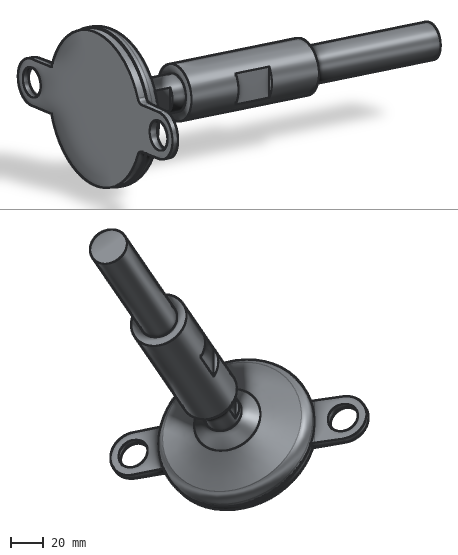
import cadquery as cq
import math

TOTAL_LENGTH = 250.0

SEAT_RADIUS = 21.5
SEAT_HEIGHT = 25.2

FOOT_RADIUS = 50.0
FOOT_BOTTOM_RADIUS = 49.2
RIM_BOTTOM = 6.0
RIM_TOP = 9.2
SHOULDER_RADIUS = 45.0
SHOULDER_HEIGHT = 16.2
SHOULDER_BULGE_RADIUS = 48.5
SHOULDER_BULGE_HEIGHT = 13.2
FLARE_RADIUS = 30.5
FLARE_HEIGHT = 21.5

EAR_REACH = 83.0
EAR_RADIUS = 15.0
EAR_HOLE_DIAMETER = 19.0
EAR_TIP_THICKNESS = 4.2
EAR_ROOT_THICKNESS = RIM_BOTTOM
EAR_CENTER = EAR_REACH - EAR_RADIUS
EAR_FILLET = 5.0

ROD_RADIUS = 12.0
DOME_MID_RADIUS = 17.5
DOME_MID_HEIGHT = 29.2
DOME_TOP = 33.0
SLEEVE_RADIUS = 18.0
SLEEVE_BOTTOM = 59.5
SLEEVE_TOP = 154.8
SLEEVE_FLAT_WIDTH = 30.0
SLEEVE_FLAT_LENGTH = 25.0
SLEEVE_FLAT_BOTTOM = (SLEEVE_BOTTOM + SLEEVE_TOP - SLEEVE_FLAT_LENGTH) / 2
STEM_FLAT_WIDTH = 19.0
STEM_FLAT_LENGTH = 12.0
STEM_FLAT_BOTTOM = 37.5


def revolve_about_y(profile):
    return profile.close().revolve(360, (0, 0, 0), (0, 1, 0))


def make_disc():
    """Round foot rising through a concave flare to the flat seat."""
    profile = (
        cq.Workplane("XY")
        .lineTo(FOOT_BOTTOM_RADIUS, 0)
        .lineTo(FOOT_BOTTOM_RADIUS, RIM_BOTTOM)
        .lineTo(FOOT_RADIUS, RIM_BOTTOM)
        .lineTo(FOOT_RADIUS, RIM_TOP)
        .threePointArc((SHOULDER_BULGE_RADIUS, SHOULDER_BULGE_HEIGHT), (SHOULDER_RADIUS, SHOULDER_HEIGHT))
        .threePointArc((FLARE_RADIUS, FLARE_HEIGHT), (SEAT_RADIUS, SEAT_HEIGHT))
        .lineTo(0, SEAT_HEIGHT)
    )
    return revolve_about_y(profile)


def ear_root_fillets():
    """Concave webs joining the +X ear to the disc, tangent to both."""
    center_z = EAR_RADIUS + EAR_FILLET
    center_distance = FOOT_BOTTOM_RADIUS + EAR_FILLET
    center_x = math.sqrt(center_distance**2 - center_z**2)
    disc_scale = FOOT_BOTTOM_RADIUS / center_distance
    disc_tangent = (center_x * disc_scale, center_z * disc_scale)
    toward_disc = math.atan2(-center_z, -center_x)
    toward_ear = -math.pi / 2
    middle = (toward_disc + toward_ear) / 2
    arc_middle = (center_x + EAR_FILLET * math.cos(middle), center_z + EAR_FILLET * math.sin(middle))
    web = (
        cq.Workplane("XZ")
        .moveTo(*disc_tangent)
        .threePointArc(arc_middle, (center_x, EAR_RADIUS))
        .lineTo(center_x, 0)
        .lineTo(disc_tangent[0], 0)
        .close()
        .extrude(-EAR_ROOT_THICKNESS)
    )
    return web.union(web.mirror("XY"))


def make_ear():
    """The +X ear at full thickness, with a round tip."""
    strip = cq.Workplane("XZ").center(EAR_CENTER / 2, 0).rect(EAR_CENTER, 2 * EAR_RADIUS)
    ear = strip.extrude(-EAR_ROOT_THICKNESS)
    tip = cq.Workplane("XZ").center(EAR_CENTER, 0).circle(EAR_RADIUS).extrude(-EAR_ROOT_THICKNESS)
    return ear.union(tip)


def ear_taper():
    """Wedge that limits the ear thickness from the disc edge to the tip."""
    return (
        cq.Workplane("XY")
        .lineTo(EAR_REACH, 0)
        .lineTo(EAR_REACH, EAR_TIP_THICKNESS)
        .lineTo(FOOT_RADIUS, EAR_ROOT_THICKNESS)
        .lineTo(0, EAR_ROOT_THICKNESS)
        .close()
        .extrude(FOOT_RADIUS, both=True)
    )


def make_foot():
    plain_ear = make_ear().intersect(ear_taper())
    filleted_ear = make_ear().union(ear_root_fillets()).intersect(ear_taper())
    foot = make_disc().union(filleted_ear).union(plain_ear.mirror("YZ"))
    holes = (
        cq.Workplane("XZ")
        .pushPoints([(-EAR_CENTER, 0), (EAR_CENTER, 0)])
        .circle(EAR_HOLE_DIAMETER / 2)
        .extrude(-EAR_ROOT_THICKNESS)
    )
    return foot.cut(holes)


def cut_wrench_flats(body, radius, width, bottom, length):
    """Remove the material beyond two parallel flats facing -X and +X."""
    depth = radius - width / 2
    for side in (-1, 1):
        cutter = cq.Workplane("XY").box(depth, length, 2 * radius)
        body = body.cut(cutter.translate((side * (width + depth) / 2, bottom + length / 2, 0)))
    return body


def make_spindle():
    """Round rod with a thick sleeve section, widening at its base into a dome that stands on the foot."""
    profile = (
        cq.Workplane("XY")
        .moveTo(0, SEAT_HEIGHT)
        .lineTo(SEAT_RADIUS, SEAT_HEIGHT)
        .threePointArc((DOME_MID_RADIUS, DOME_MID_HEIGHT), (ROD_RADIUS, DOME_TOP))
        .lineTo(ROD_RADIUS, SLEEVE_BOTTOM)
        .lineTo(SLEEVE_RADIUS, SLEEVE_BOTTOM)
        .lineTo(SLEEVE_RADIUS, SLEEVE_TOP)
        .lineTo(ROD_RADIUS, SLEEVE_TOP)
        .lineTo(ROD_RADIUS, TOTAL_LENGTH)
        .lineTo(0, TOTAL_LENGTH)
    )
    spindle = revolve_about_y(profile)
    spindle = cut_wrench_flats(
        spindle, SLEEVE_RADIUS, SLEEVE_FLAT_WIDTH, SLEEVE_FLAT_BOTTOM, SLEEVE_FLAT_LENGTH
    )
    return cut_wrench_flats(spindle, ROD_RADIUS, STEM_FLAT_WIDTH, STEM_FLAT_BOTTOM, STEM_FLAT_LENGTH)


foot = make_foot()
spindle = make_spindle()

result = cq.Compound.makeCompound([*foot.solids().vals(), *spindle.solids().vals()])